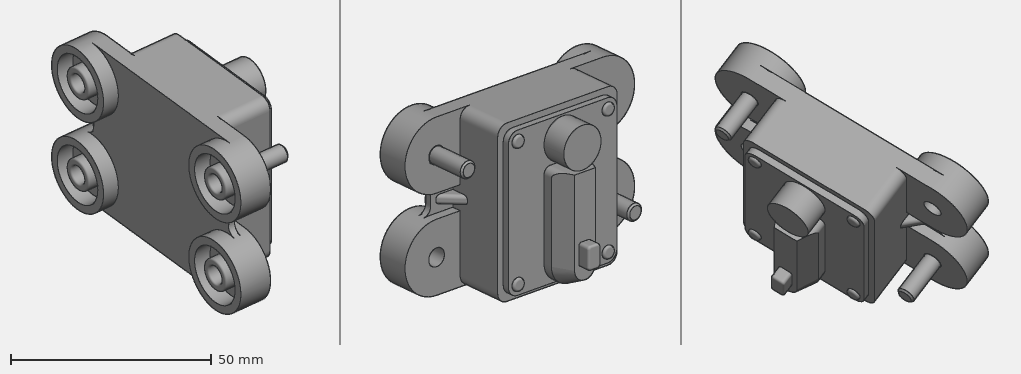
import cadquery as cq
import math


overall_width = 76.0
overall_height = 48.9

boss_diameter = 20.9
boss_radius = boss_diameter / 2
boss_depth = 9.5
column_x = (overall_width - boss_diameter) / 2
row_z = (overall_height - boss_diameter) / 2
recess_diameter = 16.25
recess_depth = 4.95
hub_diameter = 9.0
hole_diameter = 5.2
hub_rounding = 0.5

plate_front = 4.7
plate_thickness = 2.0
plate_back = plate_front + plate_thickness
notch_half_width = 27.05
notch_fillet = 2.65

gusset_leg = 5.55
gusset_thickness = 2.65
gusset_rounding = 1.0

box_width = 39.5
box_back = 23.8
corner_radius = 3.05
lid_inset = 1.8
lid_thickness = 2.0
lid_back = box_back + lid_thickness
lid_width = box_width - 2 * lid_inset
lid_height = overall_height - 2 * lid_inset

screw_diameter = 3.7
screw_height = 0.8
screw_rounding = 0.7

connector_diameter = 12.3
connector_z = 15.95
connector_back = 33.3

hump_radius = 6.15
hump_z = hump_radius - lid_height / 2
hump_top_z = connector_z - connector_diameter / 2
hump_corner_radius = 2.05
hump_back = 34.3
slope_start = 28.6
slope_inset = 2.7

key_width = 4.0
key_height = 6.7
key_z = -12.5
key_back = 38.0
key_corner_radius = 0.9
key_end_rounding = 0.6

pin_diameter = 4.9
pin_front = boss_depth
pin_back = 21.8
pin_chamfer = 0.5


def facing_back(y):
    """Workplane at depth y, with X to the right and Z up; negative extrusions run toward +Y."""
    return cq.Workplane("XZ", origin=(0, y, 0))


def block(width, height, front, back):
    return facing_back(front).rect(width, height).extrude(front - back)


def disc(diameter, x, z, front, back):
    return facing_back(front).center(x, z).circle(diameter / 2).extrude(front - back)


def corner_points(x, z):
    return [(side * x, level * z) for side in (-1, 1) for level in (-1, 1)]


def make_plate():
    """Thin plate up to the boss centres, widened by fillets that run from the notch to the bosses."""
    fillet_x = notch_half_width + notch_fillet
    fillet_z = row_z - math.sqrt((boss_radius + notch_fillet) ** 2 - (fillet_x - column_x) ** 2)
    touch = boss_radius / (boss_radius + notch_fillet)
    touch_x = column_x + touch * (fillet_x - column_x)
    touch_z = row_z - touch * (row_z - fillet_z)
    plate = block(2 * column_x, overall_height, plate_front, plate_back)
    web = block(2 * touch_x, 2 * touch_z, plate_front, plate_back)
    plate = plate.union(web)
    opening_width = 2 * notch_fillet
    for side in (-1, 1):
        for level in (-1, 1):
            plate = plate.cut(
                disc(2 * notch_fillet, side * fillet_x, level * fillet_z, plate_front, plate_back)
            )
        opening = block(opening_width, 2 * fillet_z, plate_front, plate_back)
        plate = plate.cut(opening.translate((side * fillet_x, 0, 0)))
    return plate


def make_arms():
    """Straight bands behind the plate, as tall as the bosses, that tie them to the box."""
    arm = block(2 * column_x, boss_diameter, plate_front, boss_depth)
    return arm.translate((0, 0, row_z)).union(arm.translate((0, 0, -row_z)))


def make_gusset(side):
    """Triangular rib, at 45 degrees, with rounded sloping edges."""
    wall_x = side * box_width / 2
    profile = [
        (0, plate_front),
        (wall_x + side * (gusset_leg + plate_thickness), plate_front),
        (wall_x, plate_back + gusset_leg),
        (0, plate_back + gusset_leg),
    ]
    rib = cq.Workplane("XY", origin=(0, 0, -gusset_thickness / 2)).polyline(profile).close()
    rib = rib.extrude(gusset_thickness)
    slope = cq.selectors.DirectionMinMaxSelector(cq.Vector(side, 1, 0), True)
    return rib.faces(slope).edges("#Z").fillet(gusset_rounding)


def make_boss_hollow(x, z):
    """Ring-shaped recess and central hole to be cut out of one boss."""
    ring = disc(recess_diameter, x, z, 0, recess_depth)
    hub = disc(hub_diameter, x, z, 0, recess_depth).faces("<Y").edges().fillet(hub_rounding)
    hole = disc(hole_diameter, x, z, 0, boss_depth)
    mouth_radius = hole_diameter / 2 + hub_rounding
    flare = disc(2 * mouth_radius, x, z, 0, hub_rounding)
    rounding = cq.Workplane(
        cq.Solid.makeTorus(mouth_radius, hub_rounding, cq.Vector(x, hub_rounding, z), cq.Vector(0, 1, 0))
    )
    return ring.cut(hub).union(hole).union(flare.cut(rounding))


def make_hump():
    """Straight-sided hump with a half-round lower end, tapering toward its back face."""
    body = (
        facing_back(lid_back)
        .moveTo(-hump_radius, hump_top_z)
        .lineTo(-hump_radius, hump_z)
        .threePointArc((0, hump_z - hump_radius), (hump_radius, hump_z))
        .lineTo(hump_radius, hump_top_z)
        .close()
        .extrude(lid_back - hump_back)
        .edges("|Y and >Z")
        .fillet(hump_corner_radius)
    )
    back_radius = hump_radius - slope_inset
    half_section = [
        (0, lid_back),
        (hump_radius, lid_back),
        (hump_radius, slope_start),
        (back_radius, hump_back),
        (0, hump_back),
    ]
    section = cq.Workplane("XY", origin=(0, 0, hump_z))
    lower_end = section.polyline(half_section).close().revolve(360, (0, 0), (0, 1))
    half_prism = section.polyline(half_section).close().extrude(hump_top_z - hump_z)
    envelope = lower_end.union(half_prism).union(half_prism.mirror("YZ"))
    return body.intersect(envelope)


def make_key():
    key = block(key_width, key_height, hump_back, key_back).edges("|Y").fillet(key_corner_radius)
    return key.faces(">Y").edges().fillet(key_end_rounding).translate((0, 0, key_z))


def make_housing():
    box = block(box_width, overall_height, plate_front, box_back).edges("|Y").fillet(corner_radius)
    lid = block(lid_width, lid_height, box_back, lid_back).edges("|Y").fillet(corner_radius)
    connector = disc(connector_diameter, 0, connector_z, lid_back, connector_back)
    housing = make_plate().union(make_arms()).union(box).union(lid).union(connector)
    for side in (-1, 1):
        housing = housing.union(make_gusset(side))

    screw_x = lid_width / 2 - corner_radius
    screw_z = lid_height / 2 - corner_radius
    for x, z in corner_points(screw_x, screw_z):
        screw = disc(screw_diameter, x, z, lid_back, lid_back + screw_height)
        housing = housing.union(screw.faces(">Y").edges().fillet(screw_rounding))

    housing = housing.union(make_hump()).union(make_key())
    for x, z in corner_points(column_x, row_z):
        housing = housing.union(disc(boss_diameter, x, z, 0, boss_depth))
        housing = housing.cut(make_boss_hollow(x, z))
    return housing


def make_pin(x, z):
    return disc(pin_diameter, x, z, pin_front, pin_back).faces(">Y").chamfer(pin_chamfer)


housing = make_housing()
pins = [make_pin(side * column_x, side * row_z) for side in (-1, 1)]

result = cq.Compound.makeCompound([housing.solids().val(), *[pin.val() for pin in pins]])